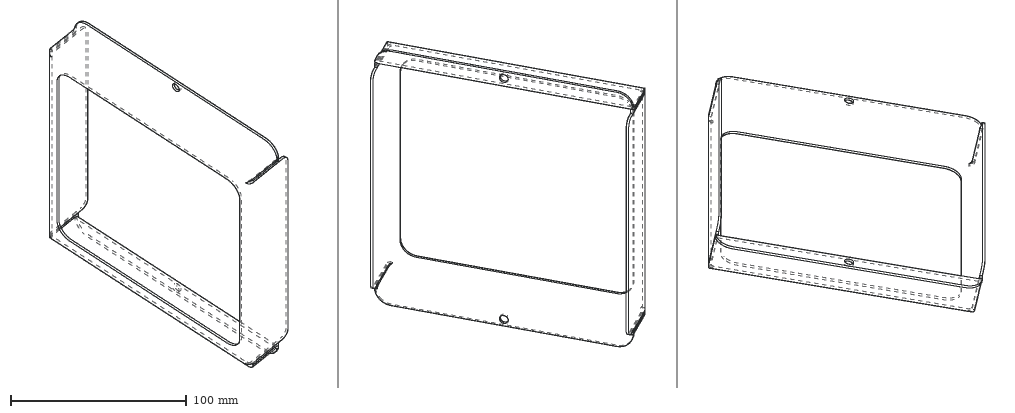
import cadquery as cq
import math

FRAME_SIZE = 155.0
FULL_HEIGHT = 174.7
SIDE_DEPTH = 33.0
TAB_DEPTH = 25.0

SHEET = 1.5
BEND_INNER = SHEET
BEND_OUTER = BEND_INNER + SHEET

OPENING_WIDTH = 140.0
OPENING_HEIGHT = 135.0
OPENING_RADIUS = 10.0

TAB_CORNER_RADIUS = 10.0
SIDE_CORNER_RADIUS = 5.0
HOLE_DIAMETER = 5.2
HOLE_TO_TAB_EDGE = 4.5

HALF_FRAME = FRAME_SIZE / 2
BEND_LINE = HALF_FRAME - BEND_OUTER
TAB_FRONT = TAB_DEPTH - SHEET
TAB_BEND_LINE = TAB_FRONT - BEND_INNER
TAB_BEND_CENTRE = HALF_FRAME + BEND_INNER
TAB_EDGE = FULL_HEIGHT / 2


def block(width, height, front, back):
    """Box centred on X and Z that reaches from front to back along Y."""
    return cq.Workplane("XY").box(width, back - front, height).translate((0, (front + back) / 2, 0))


def side_channel(height):
    """Front plate with both side flanges bent back, as one channel along Z."""
    outside = block(FRAME_SIZE, height, 0, SIDE_DEPTH).edges("|Z and <Y").fillet(BEND_OUTER)
    inside = block(FRAME_SIZE - 2 * SHEET, height, SHEET, SIDE_DEPTH).edges("|Z and <Y").fillet(BEND_INNER)
    return outside.cut(inside)


def rounded_envelope():
    """Space inside the outer faces of all four bends, as deep as the tabs."""
    upright = block(FRAME_SIZE, FULL_HEIGHT, 0, TAB_DEPTH).edges("|Z and <Y").fillet(BEND_OUTER)
    lying = block(FRAME_SIZE, FRAME_SIZE, 0, TAB_DEPTH).edges("|X and <Y").fillet(BEND_OUTER)
    return upright.intersect(lying)


def bend_mitres():
    """Ends of the top front bend that are cut away at 45 degrees towards the side bends."""
    kept = (
        cq.Workplane("XZ")
        .polyline([(0, 0), (TAB_EDGE, TAB_EDGE), (-TAB_EDGE, TAB_EDGE)])
        .close()
        .extrude(-BEND_OUTER)
    )
    return block(FULL_HEIGHT, FULL_HEIGHT, 0, BEND_OUTER).cut(kept)


def tab_corners():
    """Material outside the rounded corners of the flat tabs."""
    rounded = block(FRAME_SIZE, FULL_HEIGHT, 0, TAB_DEPTH).edges("|Y").fillet(TAB_CORNER_RADIUS)
    below_tabs = block(FRAME_SIZE, 2 * TAB_BEND_CENTRE, 0, TAB_DEPTH)
    return block(FRAME_SIZE, FULL_HEIGHT, 0, TAB_DEPTH).cut(rounded).cut(below_tabs)


def tab_hole():
    """Mounting hole through the top tab."""
    return (
        cq.Workplane("XZ")
        .center(0, TAB_EDGE - HOLE_TO_TAB_EDGE)
        .circle(HOLE_DIAMETER / 2)
        .extrude(-TAB_DEPTH)
    )


def top_flange():
    """Front bend, top wall, rear bend and mounting tab across the full width."""
    diagonal = math.sqrt(0.5)

    def front_bend_middle(radius):
        return (BEND_OUTER - radius * diagonal, BEND_LINE + radius * diagonal)

    def tab_bend_middle(radius):
        return (TAB_BEND_LINE + radius * diagonal, TAB_BEND_CENTRE - radius * diagonal)

    profile = (
        cq.Workplane("YZ")
        .moveTo(0, BEND_LINE)
        .threePointArc(front_bend_middle(BEND_OUTER), (BEND_OUTER, HALF_FRAME))
        .lineTo(TAB_BEND_LINE, HALF_FRAME)
        .threePointArc(tab_bend_middle(BEND_INNER), (TAB_FRONT, TAB_BEND_CENTRE))
        .lineTo(TAB_FRONT, TAB_EDGE)
        .lineTo(TAB_DEPTH, TAB_EDGE)
        .lineTo(TAB_DEPTH, TAB_BEND_CENTRE)
        .threePointArc(tab_bend_middle(BEND_OUTER), (TAB_BEND_LINE, HALF_FRAME - SHEET))
        .lineTo(BEND_OUTER, HALF_FRAME - SHEET)
        .threePointArc(front_bend_middle(BEND_INNER), (SHEET, BEND_LINE))
        .close()
    )
    flange = profile.extrude(HALF_FRAME, both=True)
    return flange.cut(bend_mitres()).cut(tab_corners()).cut(tab_hole())


def make_sheet_frame():
    """Single folded sheet: front plate, side flanges and tabbed top and bottom flanges."""
    opening = block(OPENING_WIDTH, OPENING_HEIGHT, 0, SHEET).edges("|Y").fillet(OPENING_RADIUS)
    sides = side_channel(2 * BEND_LINE).edges("|X and >Y").fillet(SIDE_CORNER_RADIUS)
    top = top_flange()
    return sides.cut(opening).union(top).union(top.mirror("XY"))


def make_corner_fill(sheet_frame, x_side, z_side):
    """Fill that closes the gap between a side flange and the top or bottom wall at one corner."""
    corner_middle = HALF_FRAME - BEND_OUTER / 2
    corner = block(BEND_OUTER, BEND_OUTER, 0, TAB_DEPTH).translate(
        (x_side * corner_middle, 0, z_side * corner_middle)
    )
    side_walls = side_channel(FRAME_SIZE).intersect(rounded_envelope())
    return side_walls.intersect(corner).cut(sheet_frame)


sheet_frame = make_sheet_frame()
corner_fills = [
    make_corner_fill(sheet_frame, x_side, z_side).solids().val()
    for x_side in (-1, 1)
    for z_side in (-1, 1)
]

result = cq.Compound.makeCompound([sheet_frame.solids().val(), *corner_fills])